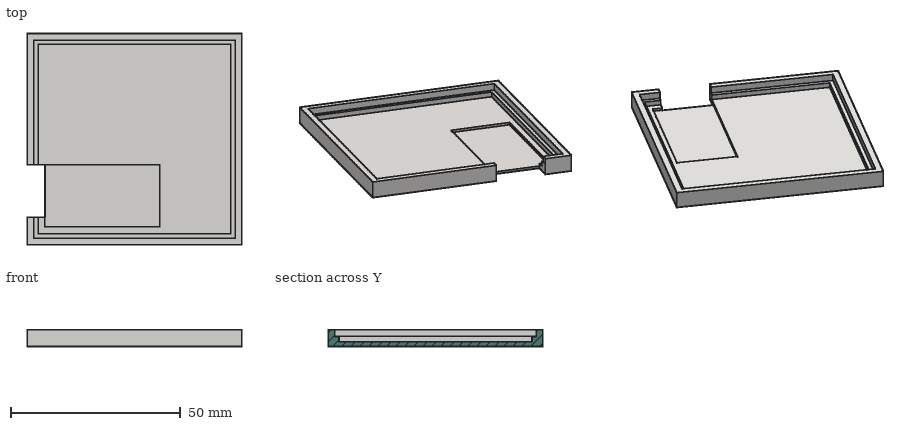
import cadquery as cq

LENGTH = 63.2
WIDTH = 62.2
HEIGHT = 5.0

RIM_WALL = 2.0
LEDGE_WIDTH = 1.25
LEDGE_HEIGHT = 3.0
FLOOR_THICKNESS = 1.5

POCKET_MARGIN = 2.0
POCKET_INSET = RIM_WALL + LEDGE_WIDTH + POCKET_MARGIN
POCKET_LENGTH = 33.75
POCKET_WIDTH = 18.25
POCKET_FLOOR = FLOOR_THICKNESS / 2

NOTCH_WIDTH = 15.35

LEFT = -LENGTH / 2
FRONT = -WIDTH / 2
POCKET_LEFT = LEFT + POCKET_INSET
POCKET_FRONT = FRONT + POCKET_INSET
POCKET_BACK = POCKET_FRONT + POCKET_WIDTH


def block(corner, length, width, bottom):
    """Box from its -X, -Y corner, spanning bottom to the top of the tray."""
    x, y = corner
    return cq.Workplane("XY").box(length, width, HEIGHT - bottom, centered=False).translate((x, y, bottom))


def inset_recess(wall, bottom):
    """Rectangular recess that leaves an even wall all around the tray."""
    return block((LEFT + wall, FRONT + wall), LENGTH - 2 * wall, WIDTH - 2 * wall, bottom)


def floor_pocket():
    """Rectangular sink in the floor, with a thinner bottom than the rest of the tray."""
    return block((POCKET_LEFT, POCKET_FRONT), POCKET_LENGTH, POCKET_WIDTH, POCKET_FLOOR)


def wall_notch():
    """Full-height opening from the outer -X face to the edge of the pocket."""
    return block((LEFT, POCKET_BACK - NOTCH_WIDTH), POCKET_INSET, NOTCH_WIDTH, 0)


tray = block((LEFT, FRONT), LENGTH, WIDTH, 0)
tray = tray.cut(inset_recess(RIM_WALL, LEDGE_HEIGHT))
tray = tray.cut(inset_recess(RIM_WALL + LEDGE_WIDTH, FLOOR_THICKNESS))
tray = tray.cut(floor_pocket())
result = tray.cut(wall_notch())